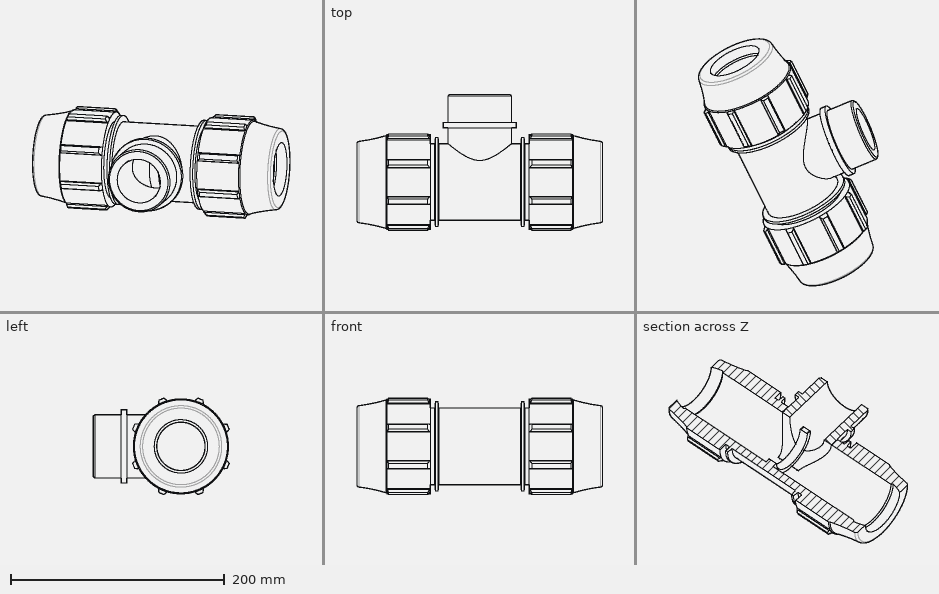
import cadquery as cq

overall_length = 230.0
tube_radius = 36.0
socket_radius = 27.1
stop_rib_radius = 22.5
stop_rib_length = 8.8

collar_radius = 83.52 / 2
collar_tip_length = 2.5
collar_root_length = 3.8
collar_centre = 40.2

nut_radius = 44.5
nut_inner_face = 46.1
shoulder_x = 87.5
shoulder_chamfer = 1.0
nose_mid_x = 101.5
nose_mid_radius = 40.0
nose_tip_radius = 37.9
nose_edge_fillet = 2.3

grip_count = 8
grip_top = 47.85
grip_top_width = 5.0
grip_base_width = 7.8
grip_bevel_start = 45.5
grip_root = nut_radius - 1.5
grip_outer_end = shoulder_x - shoulder_chamfer
grip_outer_slope = 1.2
grip_inner_ramp = 2.7

mouth_radius = 25.0
mouth_depth = 11.0
mouth_back_radius = 28.6
mouth_mid_radius = 27.3

branch_radius = 59.61 / 2
branch_bore_radius = 41.73 / 2
branch_end = 82.0
branch_end_chamfer = 1.5
flange_radius = 68.56 / 2
flange_start = 50.6
flange_end = 55.9

nose_x = overall_length / 2


def x_cylinder(radius, length):
    """Cylinder along X, centred on the origin."""
    return cq.Workplane("YZ").circle(radius).extrude(length / 2, both=True)


def y_cylinder(radius, start, end):
    """Cylinder along +Y between two distances from the run axis."""
    return cq.Workplane("XZ").workplane(offset=-start).circle(radius).extrude(start - end)


def revolve_about_x(profile):
    return profile.close().revolve(360, (0, 0, 0), (1, 0, 0))


def at_both_ends(shape):
    return shape.union(shape.mirror("YZ"))


def collar():
    half_root = collar_root_length / 2
    half_tip = collar_tip_length / 2
    return revolve_about_x(
        cq.Workplane("XY")
        .moveTo(collar_centre - half_root, 0)
        .lineTo(collar_centre - half_root, tube_radius)
        .lineTo(collar_centre - half_tip, collar_radius)
        .lineTo(collar_centre + half_tip, collar_radius)
        .lineTo(collar_centre + half_root, tube_radius)
        .lineTo(collar_centre + half_root, 0)
    )


def grip():
    """One grip on the +Y side of the nut, ramped down to the barrel at both ends."""
    section_bar = (
        cq.Workplane("YZ")
        .workplane(offset=nut_inner_face)
        .moveTo(grip_bevel_start, -grip_base_width / 2)
        .lineTo(grip_top, -grip_top_width / 2)
        .lineTo(grip_top, grip_top_width / 2)
        .lineTo(grip_bevel_start, grip_base_width / 2)
        .lineTo(grip_root, grip_base_width / 2)
        .lineTo(grip_root, -grip_base_width / 2)
        .close()
        .extrude(grip_outer_end - nut_inner_face)
    )
    side_shape = (
        cq.Workplane("XY")
        .moveTo(nut_inner_face, grip_root)
        .lineTo(nut_inner_face, nut_radius)
        .lineTo(nut_inner_face + grip_inner_ramp, grip_top)
        .lineTo(grip_outer_end - grip_outer_slope, grip_top)
        .lineTo(grip_outer_end, nut_radius)
        .lineTo(grip_outer_end, grip_root)
        .close()
        .extrude(grip_base_width / 2, both=True)
    )
    return section_bar.intersect(side_shape)


def nut():
    """Nut at the +X end: gripped barrel, chamfered shoulder and flared nose."""
    body = revolve_about_x(
        cq.Workplane("XY")
        .moveTo(nut_inner_face, 0)
        .lineTo(nut_inner_face, nut_radius)
        .lineTo(shoulder_x - shoulder_chamfer, nut_radius)
        .lineTo(shoulder_x, nut_radius - shoulder_chamfer)
        .threePointArc((nose_mid_x, nose_mid_radius), (nose_x, nose_tip_radius))
        .lineTo(nose_x, 0)
    )
    body = body.faces(">X").edges().fillet(nose_edge_fillet)
    pitch = 360 / grip_count
    for index in range(grip_count):
        body = body.union(grip().rotate((0, 0, 0), (1, 0, 0), (index + 0.5) * pitch))
    return body


def pipe_passage():
    """Hollow of the +X half of the run: stop rib, pipe socket and flared mouth."""
    rib_face = stop_rib_length / 2
    mouth_back_x = nose_x - mouth_depth
    socket_end_x = mouth_back_x - (mouth_back_radius - socket_radius)
    return revolve_about_x(
        cq.Workplane("XY")
        .moveTo(0, 0)
        .lineTo(0, stop_rib_radius)
        .lineTo(rib_face, stop_rib_radius)
        .lineTo(rib_face, socket_radius)
        .lineTo(socket_end_x, socket_radius)
        .lineTo(mouth_back_x, mouth_back_radius)
        .threePointArc((nose_x - mouth_depth / 2, mouth_mid_radius), (nose_x, mouth_radius))
        .lineTo(nose_x, 0)
    )


def stop_at_socket(shape):
    """Trim a branch shape so that it stops at the pipe socket surface."""
    return shape.cut(x_cylinder(socket_radius, 2 * nut_inner_face))


branch_hole = stop_at_socket(y_cylinder(branch_radius, 0, branch_end))
run = x_cylinder(tube_radius, 2 * nut_inner_face)
run = run.union(at_both_ends(collar())).union(at_both_ends(nut()))
run = run.cut(at_both_ends(pipe_passage())).cut(branch_hole)

spigot = y_cylinder(branch_radius, 0, branch_end).faces(">Y").chamfer(branch_end_chamfer)
flange = y_cylinder(flange_radius, flange_start, flange_end)
branch = spigot.union(flange).cut(y_cylinder(branch_bore_radius, 0, branch_end))
branch = stop_at_socket(branch)

result = cq.Compound.makeCompound([run.solids().val(), branch.solids().val()])